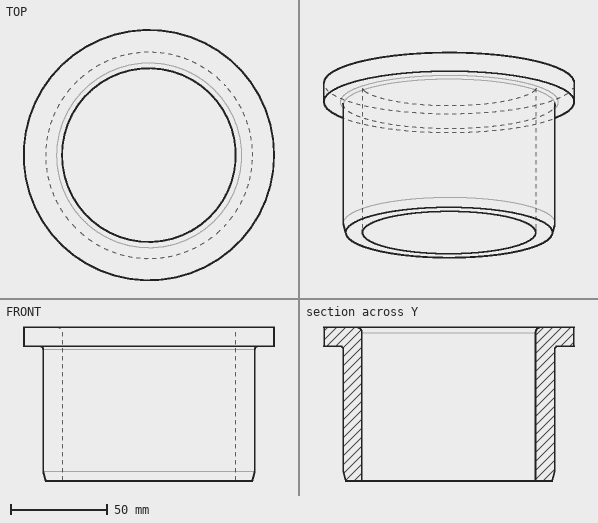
import cadquery as cq
import math

flange_diameter = 130.0
body_diameter = 110.0
bore_diameter = 90.0
total_height = 80.0
flange_thickness = 10.0
bore_edge_radius = 3.0
neck_fillet_radius = 1.5
lead_in_height = 5.1
lead_in_angle = 15.0

lead_in_depth = lead_in_height * math.tan(math.radians(lead_in_angle))
body_height = total_height - flange_thickness


def make_body():
    """Cylindrical sleeve with a tapered lead-in at its lower end, base at Z = 0."""
    taper_bottom_radius = body_diameter / 2 - lead_in_depth
    return (
        cq.Workplane("XZ")
        .lineTo(taper_bottom_radius, 0)
        .lineTo(body_diameter / 2, lead_in_height)
        .lineTo(body_diameter / 2, body_height)
        .lineTo(0, body_height)
        .close()
        .revolve(360, (0, 0), (0, 1))
    )


def make_flange():
    """Collar resting on the upper end of the sleeve."""
    return (
        cq.Workplane("XY")
        .workplane(offset=body_height)
        .circle(flange_diameter / 2)
        .extrude(flange_thickness)
    )


def fillet_neck(part):
    """Round the inner corner between the sleeve and the flange underside."""
    underside_edges = cq.selectors.BoxSelector(
        (-flange_diameter, -flange_diameter, body_height - neck_fillet_radius),
        (flange_diameter, flange_diameter, body_height + neck_fillet_radius),
    )
    neck_edge = cq.selectors.RadiusNthSelector(0)
    return part.edges(underside_edges).edges(neck_edge).fillet(neck_fillet_radius)


def cut_bore(part):
    """Through bore with a rounded upper edge."""
    bored = part.faces(">Z").workplane().hole(bore_diameter)
    return bored.faces(">Z").edges(cq.selectors.RadiusNthSelector(0)).fillet(bore_edge_radius)


bushing = make_body().union(make_flange())
result = cut_bore(fillet_neck(bushing))